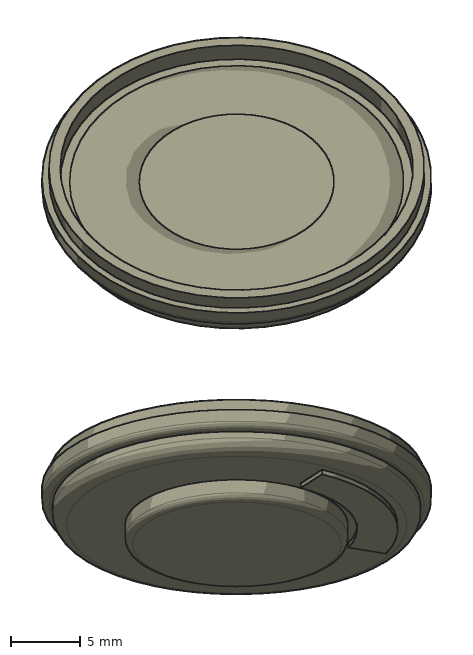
import cadquery as cq

rim_radius = 14.0
lip_radius = 13.5
body_radius = 13.25
boss_radius = 8.0

body_bottom = 1.5
rim_bottom = 3.0
rim_top = 4.4
lip_top = 5.4

boss_fillet = 0.5
body_fillet = 1.0
rim_fillet = 0.5

recess_radius = 12.68
recess_depth = 1.4
surround_outer_radius = 12.0
surround_inner_radius = 7.0
surround_rise = 0.7
dome_rise = 0.9

pad_outer_radius = 11.6
pad_inner_radius = 8.68
pad_thickness = 0.35
pad_angle = 80.0


def rounded_disc(radius, bottom, top, fillet):
    """Disc about Z whose lower edge is rounded."""
    disc = cq.Workplane("XY").workplane(offset=bottom).circle(radius).extrude(top - bottom)
    return disc.faces("<Z").edges().fillet(fillet)


def recess_cutter():
    """Revolved space above the central dome and the ring-shaped surround."""
    floor = lip_top - recess_depth
    surround_middle = (surround_outer_radius + surround_inner_radius) / 2
    sphere_radius = (surround_inner_radius**2 + dome_rise**2) / (2 * dome_rise)
    half_radius = surround_inner_radius / 2
    dome_drop = sphere_radius - (sphere_radius**2 - half_radius**2) ** 0.5
    return (
        cq.Workplane("XZ")
        .moveTo(0, lip_top)
        .lineTo(0, floor + dome_rise)
        .threePointArc((half_radius, floor + dome_rise - dome_drop), (surround_inner_radius, floor))
        .threePointArc((surround_middle, floor + surround_rise), (surround_outer_radius, floor))
        .lineTo(recess_radius, floor)
        .lineTo(recess_radius, lip_top)
        .close()
        .revolve(360, (0, 0, 0), (0, 1, 0))
    )


def arc_pad():
    """Ring sector hanging from the underside of the body."""
    return (
        cq.Workplane("XZ")
        .moveTo(pad_inner_radius, body_bottom - pad_thickness)
        .lineTo(pad_outer_radius, body_bottom - pad_thickness)
        .lineTo(pad_outer_radius, body_bottom)
        .lineTo(pad_inner_radius, body_bottom)
        .close()
        .revolve(pad_angle, (0, 0, 0), (0, 1, 0))
        .rotate((0, 0, 0), (0, 0, 1), 90 - pad_angle / 2)
    )


boss = rounded_disc(boss_radius, 0, body_bottom, boss_fillet)
body = rounded_disc(body_radius, body_bottom, rim_bottom, body_fillet)
rim = rounded_disc(rim_radius, rim_bottom, rim_top, rim_fillet)
lip = cq.Workplane("XY").workplane(offset=rim_top).circle(lip_radius).extrude(lip_top - rim_top)

result = boss.union(body).union(rim).union(lip).union(arc_pad()).cut(recess_cutter())